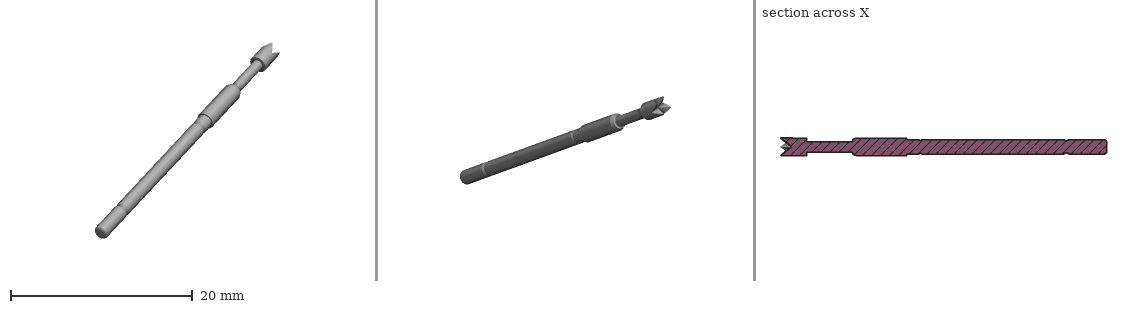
import cadquery as cq
import math

head_end = 3.0
collar_start = 8.0
collar_end = 14.0
total_length = 36.0

head_radius = 1.0
stem_radius = 0.6
collar_radius = 1.0
barrel_radius = 0.825

lead_in_length = 0.4

tail_fillet = 0.38

ring_grooves = [
    (15.45, 0.45, 0.1),
    (31.5, 0.64, 0.15),
]

crown_groove_turns = (45, -45)
crown_groove_angle = 60.0
crown_groove_half_width = head_radius * math.sin(math.radians(45))
crown_depth = crown_groove_half_width / math.tan(math.radians(crown_groove_angle / 2))


def make_cylinder(start, end, radius):
    """Cylinder about Y between two stations."""
    return cq.Workplane("XZ", origin=(0, -start, 0)).circle(radius).extrude(end - start)


def make_collar():
    """Press-fit collar with its conical lead-in."""
    collar = make_cylinder(collar_start, collar_end, collar_radius)
    return collar.faces(">Y").chamfer(lead_in_length, collar_radius - barrel_radius)


def make_barrel():
    """Long barrel with a rounded tail."""
    barrel = make_cylinder(collar_end, total_length, barrel_radius)
    return barrel.faces("<Y").edges().fillet(tail_fillet)


def make_ring_groove(station, width, depth):
    """Cutter for a V-shaped ring groove around the barrel."""
    section = cq.Workplane("XY").polyline([
        (barrel_radius, -station + width / 2),
        (barrel_radius - depth, -station),
        (barrel_radius, -station - width / 2),
    ]).close()
    return section.revolve(360, (0, 0, 0), (0, 1, 0))


def make_crown_groove(turn):
    """Cutter for a V groove across the head, turned about Y."""
    section = cq.Workplane("XY").polyline([
        (-crown_groove_half_width, 0),
        (crown_groove_half_width, 0),
        (0, -crown_depth),
    ]).close()
    groove = section.extrude(2 * head_radius, both=True)
    return groove.rotate((0, 0, 0), (0, 1, 0), turn)


head = make_cylinder(0, head_end, head_radius)
for turn in crown_groove_turns:
    head = head.cut(make_crown_groove(turn))

stem = make_cylinder(head_end, collar_start, stem_radius)

barrel = make_barrel()
for station, width, depth in ring_grooves:
    barrel = barrel.cut(make_ring_groove(station, width, depth))

result = head.union(stem).union(make_collar()).union(barrel)